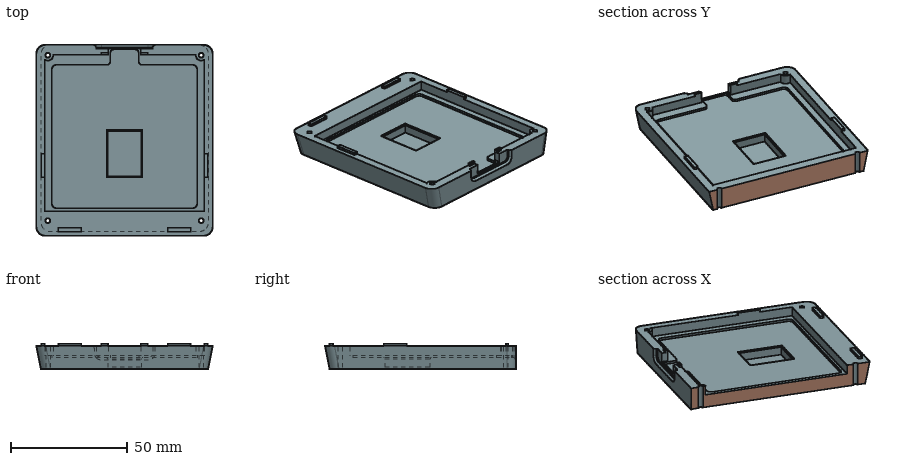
import cadquery as cq

width = 76.0
depth = 82.3
body_height = 10.0
tab_height = 1.0
corner_radius = 4.0
wall_draft = 2.0

shelf_level = 6.0
recess_level = 5.0
window_floor_level = 1.0

cavity_width = 68.5
cavity_front = -30.5
cavity_back = 36.8

recess_width = 62.5
recess_front = -29.2
recess_back = 32.5
recess_corner_radius = 2.0
tongue_width = 12.2
tongue_back = 39.1
tongue_corner_radius = 1.5

window_width = 15.5
window_front = -15.9
window_back = 4.45
window_chamfer = 0.5

opening_width = 14.0
slot_width = 24.2
slot_front = 39.5
slot_floor_level = recess_level
slot_corner_radius = 2.05
slot_flare = 1.0

hole_diameter = 2.0
hole_x = 33.0
front_hole_y = -34.6
back_hole_y = 36.6
boss_radius = 2.3

tab_length = 9.95
tab_thickness = 1.65
side_tab_y = -10.9
front_tab_x = 23.5
front_tab_y = -38.4
back_tab_length = 3.05
back_tab_thickness = 1.0

front_face = -depth / 2
back_face = depth / 2

select_margin = 0.1


def mirrored(x, y):
    """A pair of points, one on each side of the YZ plane."""
    return [(-x, y), (x, y)]


def block(x_size, y_front, y_back, z_bottom, z_top):
    """Box centred on X between the given Y and Z limits."""
    return (
        cq.Workplane("XY", origin=(0, (y_front + y_back) / 2, z_bottom))
        .rect(x_size, y_back - y_front)
        .extrude(z_top - z_bottom)
    )


def rounded_outline(x_size, y_front, y_back, radius):
    """Rounded rectangle centred on X, drawn in its own plane."""
    return (
        cq.Sketch()
        .push([(0, (y_front + y_back) / 2)])
        .rect(x_size, y_back - y_front)
        .reset()
        .vertices()
        .fillet(radius)
    )


def make_body():
    """Front and side walls lean inward going down; the back wall is upright."""
    bottom = rounded_outline(width - 2 * wall_draft, front_face + wall_draft, back_face, corner_radius)
    top = rounded_outline(width, front_face, back_face, corner_radius)
    return (
        cq.Workplane("XY")
        .placeSketch(bottom, top.moved(cq.Location(cq.Vector(0, 0, body_height))))
        .loft(ruled=True)
    )


def make_cavity():
    """Main cavity, keeping a round screw boss in each back corner."""
    cavity = block(cavity_width, cavity_front, cavity_back, shelf_level, body_height)
    bosses = (
        cq.Workplane("XY", origin=(0, 0, shelf_level))
        .pushPoints(mirrored(hole_x, back_hole_y))
        .circle(boss_radius)
        .extrude(body_height - shelf_level)
    )
    return cavity.cut(bosses)


def make_recess():
    """Rounded recess and its tongue, as one pocket."""
    field = block(recess_width, recess_front, recess_back, recess_level, shelf_level)
    field = field.edges("|Z").fillet(recess_corner_radius)
    tongue_start = recess_back - recess_corner_radius
    tongue = block(tongue_width, tongue_start, tongue_back, recess_level, shelf_level)
    tongue = tongue.edges("|Z and >Y").fillet(tongue_corner_radius)
    reach = tongue_width / 2 + tongue_corner_radius
    inner_corners = cq.selectors.BoxSelector(
        (-reach, recess_back - select_margin, recess_level - select_margin),
        (reach, recess_back + select_margin, shelf_level + select_margin),
    )
    return field.union(tongue).edges("|Z").edges(inner_corners).fillet(tongue_corner_radius)


def make_window():
    """Deep pocket with a chamfered rim."""
    inset = 2 * window_chamfer
    length = window_back - window_front
    middle = (window_front + window_back) / 2
    rim = (
        cq.Workplane("XY", origin=(0, middle, recess_level))
        .rect(window_width, length)
        .workplane(offset=-window_chamfer)
        .rect(window_width - inset, length - inset)
        .loft(ruled=True)
    )
    return rim.faces("<Z").wires().toPending().workplane().extrude(
        recess_level - window_chamfer - window_floor_level
    )


def make_back_opening():
    """Gap through the back wall, leading into a wider slot with rounded lower corners."""
    gap = block(opening_width, cavity_back, back_face, shelf_level, body_height)
    slot = block(slot_width, slot_front, back_face, slot_floor_level, body_height)
    slot = slot.edges("|Y and <Z").fillet(slot_corner_radius)
    return gap.union(slot)


def flare_slot(body):
    """Chamfer the slot's mouth where it meets the back face."""
    mouth = cq.selectors.BoxSelector(
        (-slot_width, back_face - select_margin, slot_floor_level - select_margin),
        (slot_width, back_face + select_margin, body_height - select_margin),
    )
    return body.edges(mouth).chamfer(slot_flare)


def make_tabs(x_size, y_size, centres):
    """Low rectangular tabs standing on the rim."""
    return (
        cq.Workplane("XY", origin=(0, 0, body_height))
        .pushPoints(centres)
        .rect(x_size, y_size)
        .extrude(tab_height)
    )


def make_holes():
    """Screw holes running through the full height at the corners."""
    return (
        cq.Workplane("XY")
        .pushPoints(mirrored(hole_x, front_hole_y) + mirrored(hole_x, back_hole_y))
        .circle(hole_diameter / 2)
        .extrude(body_height)
    )


side_tab_x = (cavity_width + tab_thickness) / 2
back_tab_x = (opening_width + back_tab_length) / 2
back_tab_y = cavity_back + back_tab_thickness / 2

tray = (
    make_body()
    .cut(make_cavity())
    .cut(make_recess())
    .cut(make_window())
    .cut(make_back_opening())
    .cut(make_holes())
)

result = (
    flare_slot(tray)
    .union(make_tabs(tab_thickness, tab_length, mirrored(side_tab_x, side_tab_y)))
    .union(make_tabs(tab_length, tab_thickness, mirrored(front_tab_x, front_tab_y)))
    .union(make_tabs(back_tab_length, back_tab_thickness, mirrored(back_tab_x, back_tab_y)))
)